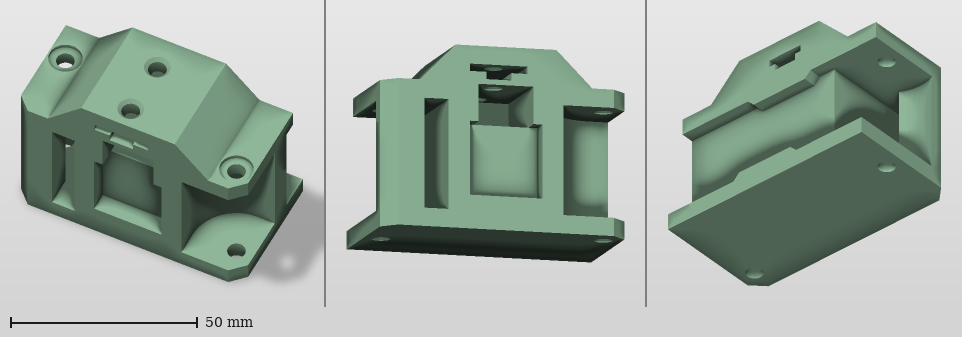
import cadquery as cq

width = 68.0
base_depth = 37.0
upper_depth = 31.0
core_depth = 27.0
height = 50.0
corner_chamfer = 4.0

plate_thickness = 5.0
bay_height = 30.0
bay_top = plate_thickness + bay_height
shoulder_height = bay_top + plate_thickness
center_x = width / 2
roof_width = 28.0
roof_rise = height - shoulder_height
roof_foot_width = roof_width + 2 * roof_rise

core_width = 32.0
core_left = center_x - core_width / 2
core_right = center_x + core_width / 2
bay_radius = 13.0
left_bay_x = 5.2
left_bay_y = 19.6
window_width = 6.7

left_axis_x = 5.0
left_axis_y = 20.7
right_axis_x = width - left_axis_x
right_axis_y = 7.0
axis_hole_diameter = 5.0
counterbore_diameter = 9.22
counterbore_depth = 1.1

rail_foot_width = 22.0
rail_crest_width = 18.0
rail_height = 2.0

pocket_side = 20.2
pocket_bottom = 9.2
pocket_depth = 5.2
chamber_width = 15.3
chamber_top = 39.6
chamber_depth = 25.0
pocket_top = pocket_bottom + pocket_side

slot_x = 32.0
slot_top = 45.0
slot_wing_bottom = 43.0
slot_stem_bottom = 41.0
slot_wing_width = 16.0
slot_wing_depth = 25.0
slot_rear_width = 11.0
slot_stem_width = 7.0

roof_hole_diameter = 5.1
roof_sink_diameter = 7.1
roof_sink_depth = (roof_sink_diameter - roof_hole_diameter) / 2
roof_hole_y_positions = [5.7, 21.7]


def box(x_min, x_max, y_min, y_max, z_min, z_max):
    """Box given by its limits along each axis."""
    size = (x_max - x_min, y_max - y_min, z_max - z_min)
    return cq.Workplane("XY").box(*size, centered=False).translate((x_min, y_min, z_min))


def centered_box(x_center, x_size, depth, z_min, z_max):
    """Box starting at the front face and centered on an X position."""
    return box(x_center - x_size / 2, x_center + x_size / 2, 0, depth, z_min, z_max)


def cylinder(x, y, z_min, z_max, diameter):
    """Vertical cylinder between two levels."""
    return cq.Workplane("XY", origin=(x, y, z_min)).circle(diameter / 2).extrude(z_max - z_min)


def trapezoid_bar(foot_width, crest_width, z_foot, z_crest, y_min, y_max):
    """Symmetric trapezoid in XZ, extended along Y."""
    outline = [
        (center_x - foot_width / 2, z_foot),
        (center_x + foot_width / 2, z_foot),
        (center_x + crest_width / 2, z_crest),
        (center_x - crest_width / 2, z_crest),
    ]
    bar = cq.Workplane("XZ", origin=(0, y_min, 0)).polyline(outline).close()
    return bar.extrude(y_min - y_max)


def outer_body():
    """Bottom plate, core, top plate and raised roof, with front corners cut."""
    body = box(0, width, 0, base_depth, 0, plate_thickness)
    body = body.union(box(0, width, 0, core_depth, plate_thickness, bay_top))
    body = body.union(box(0, width, 0, upper_depth, bay_top, shoulder_height))
    body = body.union(
        trapezoid_bar(roof_foot_width, roof_width, shoulder_height, height, 0, upper_depth)
    )
    corner_legs = [(0, corner_chamfer), (width, width - corner_chamfer)]
    for corner_x, leg_x in corner_legs:
        corner = cq.Workplane("XY").polyline([(corner_x, 0), (leg_x, 0), (corner_x, corner_chamfer)])
        body = body.cut(corner.close().extrude(shoulder_height))
    return body


def left_bay():
    """Round bay open to the left and rear, plus the window through its front wall."""
    bay = cylinder(left_bay_x, left_bay_y, plate_thickness, bay_top, 2 * bay_radius)
    rear = box(0, core_left, left_bay_y, core_depth, plate_thickness, bay_top)
    limit = box(0, core_left, 0, core_depth, plate_thickness, bay_top)
    window = box(core_left - window_width, core_left, 0, core_depth, plate_thickness, bay_top)
    return bay.union(rear).intersect(limit).union(window)


def right_bay():
    """Bay open to the front and right; its round corner runs into a flat rear wall."""
    bay = cylinder(right_axis_x, right_axis_y, plate_thickness, bay_top, 2 * bay_radius)
    front = box(core_right, width, 0, right_axis_y, plate_thickness, bay_top)
    flat_end = right_axis_y + bay_radius
    flat = box(right_axis_x, width, 0, flat_end, plate_thickness, bay_top)
    limit = box(core_right, width, 0, core_depth, plate_thickness, bay_top)
    return bay.union(front).union(flat).intersect(limit)


def axis_hole(x, y):
    """Hole through both plates with a shallow counterbore on top."""
    hole = cylinder(x, y, 0, shoulder_height, axis_hole_diameter)
    counterbore_floor = shoulder_height - counterbore_depth
    return hole.union(cylinder(x, y, counterbore_floor, shoulder_height, counterbore_diameter))


def rear_rails():
    """Matching rails behind the core, on the bottom plate and under the top plate."""
    lower = trapezoid_bar(
        rail_foot_width, rail_crest_width, plate_thickness, plate_thickness + rail_height,
        core_depth, base_depth,
    )
    upper = trapezoid_bar(
        rail_foot_width, rail_crest_width, bay_top, bay_top - rail_height,
        core_depth, upper_depth,
    )
    return lower.union(upper)


def front_pocket():
    """Shallow square pocket with a narrower, deeper chamber above it."""
    pocket = centered_box(center_x, pocket_side, pocket_depth, pocket_bottom, pocket_top)
    chamber = centered_box(center_x, chamber_width, chamber_depth, pocket_top, chamber_top)
    return pocket.union(chamber)


def tee_slot():
    """T-shaped slot through the block, with wings that narrow toward the rear."""
    wings = centered_box(slot_x, slot_wing_width, slot_wing_depth, slot_wing_bottom, slot_top)
    rear = centered_box(slot_x, slot_rear_width, upper_depth, slot_wing_bottom, slot_top)
    stem = centered_box(slot_x, slot_stem_width, upper_depth, slot_stem_bottom, slot_top)
    return wings.union(rear).union(stem)


def roof_hole(y):
    """Countersunk hole from the roof down into the chamber."""
    hole = cylinder(slot_x, y, pocket_top, height, roof_hole_diameter)
    sink = cq.Workplane("XY").add(
        cq.Solid.makeCone(
            roof_hole_diameter / 2,
            roof_sink_diameter / 2,
            roof_sink_depth,
            pnt=cq.Vector(slot_x, y, height - roof_sink_depth),
        )
    )
    return hole.union(sink)


result = outer_body().cut(left_bay()).cut(right_bay()).union(rear_rails())
result = result.cut(front_pocket()).cut(tee_slot())
for axis_x, axis_y in [(left_axis_x, left_axis_y), (right_axis_x, right_axis_y)]:
    result = result.cut(axis_hole(axis_x, axis_y))
for hole_y in roof_hole_y_positions:
    result = result.cut(roof_hole(hole_y))